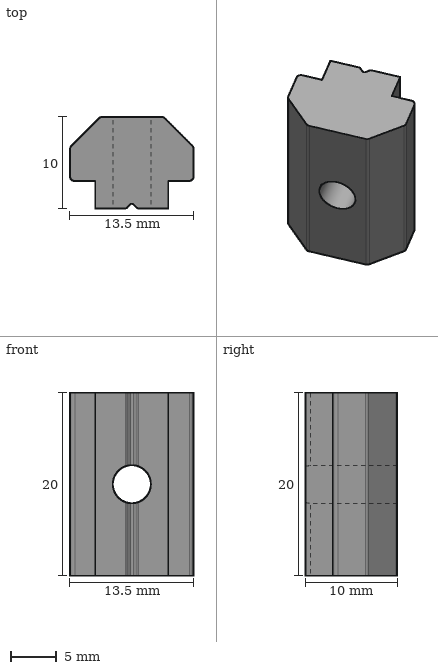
import cadquery as cq

head_width = 13.5
stem_width = 8.0
depth = 10.0
length = 20.0
stem_height = 3.0
back_chamfer = 3.3
corner_radius = 0.5
groove_half_width = 0.62
groove_radius = 0.25
hole_diameter = 4.13

stem_y = -depth / 2
shoulder_y = stem_y + stem_height
back_y = depth / 2
chamfer_y = back_y - back_chamfer
head_x = head_width / 2
stem_x = stem_width / 2
back_x = head_x - back_chamfer
groove_bottom_y = stem_y + groove_half_width


def round_lengthwise_edges(body, points, radius):
    """Fillet the edges parallel to Z that pass through the given XY points."""
    edges = []
    for x, y in points:
        nearest = cq.selectors.NearestToPointSelector((x, y, 0))
        edges.append(body.edges("|Z").edges(nearest).val())
    return body.newObject(edges).fillet(radius)


def make_body():
    """T-shaped bar with a V groove along the stem face."""
    half_outline = [
        (groove_half_width, stem_y),
        (stem_x, stem_y),
        (stem_x, shoulder_y),
        (head_x, shoulder_y),
        (head_x, chamfer_y),
        (back_x, back_y),
    ]
    mirrored = [(-x, y) for x, y in reversed(half_outline)]
    outline = [(0, groove_bottom_y)] + half_outline + mirrored
    return (
        cq.Workplane("XY")
        .polyline(outline)
        .close()
        .extrude(length / 2, both=True)
    )


def round_body(body):
    """Round the head corners and the groove."""
    head_corners = []
    groove_edges = [(0, groove_bottom_y)]
    for side in (-1, 1):
        head_corners += [
            (side * head_x, shoulder_y),
            (side * head_x, chamfer_y),
            (side * back_x, back_y),
        ]
        groove_edges.append((side * groove_half_width, stem_y))
    body = round_lengthwise_edges(body, head_corners, corner_radius)
    return round_lengthwise_edges(body, groove_edges, groove_radius)


def make_hole():
    """Through hole from the stem face to the back face, at mid length."""
    return cq.Workplane("XZ").circle(hole_diameter / 2).extrude(depth / 2, both=True)


result = round_body(make_body()).cut(make_hole())